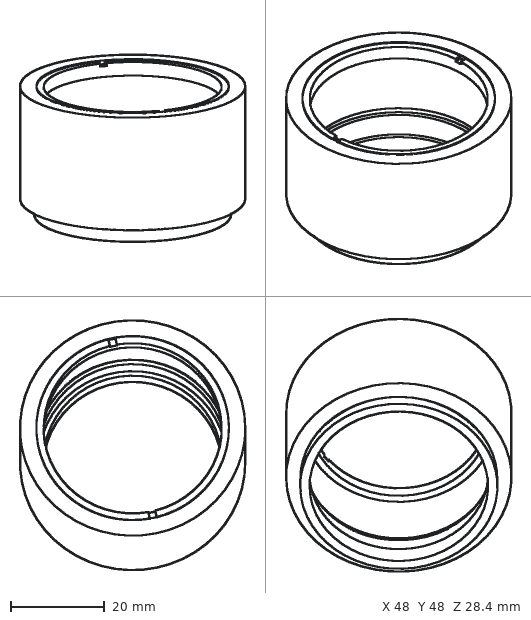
import cadquery as cq

total_height = 28.45
body_height = 25.0
lip_height = 2.7
body_bottom = total_height - body_height

body_radius = 24.0
neck_radius = 20.5
lip_radius = 21.0

bore_radius = 19.0
lower_step_radius = 20.0
main_bore_radius = 20.5
undercut_radius = 21.0
lower_ledge_height = 4.6
upper_ledge_height = 9.7
undercut_height = 1.4

ring_inner_radius = 18.95
ring_recess = 0.2
ring_thickness = 3.0
slot_width = 1.5
slot_depth = 0.65

ring_top = total_height - ring_recess
ring_bottom = ring_top - ring_thickness
undercut_top = upper_ledge_height + undercut_height


def make_body():
    """Revolve the complete wall section, retaining ring included."""
    section = [
        (bore_radius, 0),
        (lip_radius, 0),
        (lip_radius, lip_height),
        (neck_radius, lip_height),
        (neck_radius, body_bottom),
        (body_radius, body_bottom),
        (body_radius, total_height),
        (main_bore_radius, total_height),
        (main_bore_radius, ring_top),
        (ring_inner_radius, ring_top),
        (ring_inner_radius, ring_bottom),
        (main_bore_radius, ring_bottom),
        (main_bore_radius, undercut_top),
        (undercut_radius, undercut_top),
        (undercut_radius, upper_ledge_height),
        (lower_step_radius, upper_ledge_height),
        (lower_step_radius, lower_ledge_height),
        (bore_radius, lower_ledge_height),
    ]
    axis_start = (0, 0, 0)
    axis_end = (0, 1, 0)
    return cq.Workplane("XZ").polyline(section).close().revolve(360, axis_start, axis_end)


def make_spanner_slots():
    """Bar along X across the ring, ending at the wall of the main bore."""
    slot_floor = ring_top - slot_depth
    bar = (
        cq.Workplane("XY")
        .workplane(offset=slot_floor)
        .rect(2 * body_radius, slot_width)
        .extrude(slot_depth)
    )
    bore_disc = cq.Workplane("XY").workplane(offset=slot_floor).circle(main_bore_radius).extrude(slot_depth)
    return bar.intersect(bore_disc)


result = make_body().cut(make_spanner_slots())